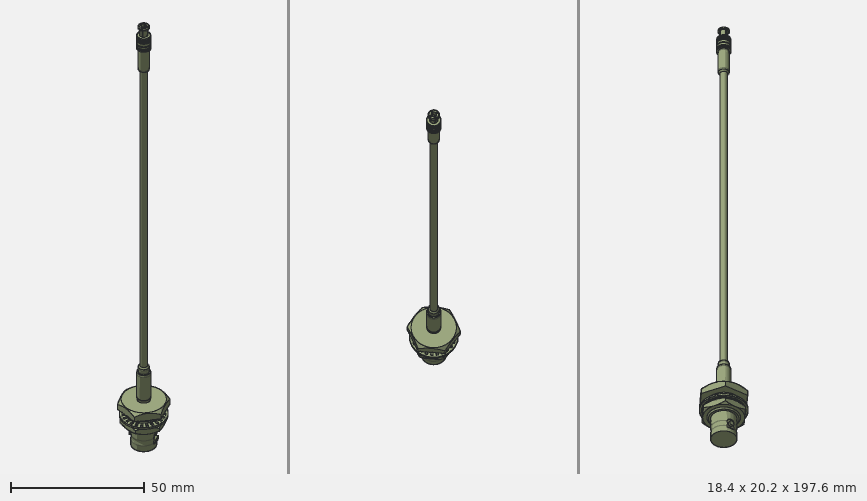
import cadquery as cq
import math


TOTAL_HEIGHT = 197.6
CABLE_RADIUS = 1.46

BARREL_RADIUS = 5.0
BARREL_TOP = 9.9
BARREL_GROOVE_BOTTOM = 2.8
BARREL_GROOVE_TOP = 5.1
BARREL_GROOVE_DEPTH = 0.2
LUG_HEIGHT = 4.1
LUG_RADIUS = 1.0
LUG_TIP = 5.5
FLAT_WIDTH = 3.2
FLAT_DEPTH = 0.4
FLAT_BOTTOM = 2.2
FLAT_TOP = 6.3
THREAD_RADIUS = 6.3
THREAD_TURNS = 3
THREAD_DEPTH = 0.2
THREAD_END_CHAMFER = 0.5
FLANGE_BOTTOM = 17.5
FLANGE_TOP = 21.1
FLANGE_CORNER_TO_CORNER = 20.2
FLANGE_CHAMFER_HEIGHT = 1.4
FLANGE_FACE_RADIUS = 8.5
NECK_RADIUS = 2.5
NECK_TOP = 22.3

WASHER_DIAMETER = 18.4
WASHER_TOP = 14.6
WASHER_RIM_BOTTOM = 13.8
TOOTH_COUNT = 24
TOOTH_RING_RADIUS = 8.3
TOOTH_GAP_WIDTH = 0.8
NUT_TOP = 13.5
NUT_BOTTOM = 10.5
NUT_ACROSS_FLATS = 15.8
NUT_CHAMFER_HEIGHT = 0.8

SLEEVE_RADIUS = 2.8
SLEEVE_TOP = 34.2
SLEEVE_CHAMFER_HEIGHT = 0.8
SLEEVE_CHAMFER_WIDTH = 0.2
COLLAR_TOP = 37.2

TUBE_RADIUS = 2.2
TUBE_CHAMFER_HEIGHT = 0.5
TUBE_CHAMFER_WIDTH = 0.1
NOSE_HEIGHT = 0.5

FERRULE_BOTTOM = 176.5
SHELL_BOTTOM = 187.1
SHELL_TOP = 193.3
SHELL_RADIUS = 2.8
RIB = 0.5
RIB_GROOVE_DEPTH = 0.2
UPPER_GROOVE_COUNT = 2
SCORE_HEIGHT = 189.5
SCORE_HALF_WIDTH = 0.2
FINGER_BOTTOM = SCORE_HEIGHT
FINGER_RADIUS = 1.5
FINGER_BORE_RADIUS = 1.0
LIP_RADIUS = 2.2
LIP_THICKNESS = 1.0
LIP_CHAMFER = 0.4
SLOT_WIDTH = 0.4
SLOT_COUNT = 4
PIN_RADIUS = 0.4
PIN_TIP = 196.6


def revolved(profile):
    """Turn a closed (radius, z) outline a full circle about the Z axis."""
    return cq.Workplane("XZ").polyline(profile).close().revolve(360, (0, 0, 0), (0, 1, 0))


def disc(radius, bottom, top):
    return cq.Workplane("XY").workplane(offset=bottom).circle(radius).extrude(top - bottom)


def ring(outer, inner, bottom, top):
    return disc(outer, bottom, top).cut(disc(inner, bottom, top))


def hexagon(corner_to_corner, bottom, top):
    """Hexagonal prism with two of its corners on the Y axis."""
    blank = cq.Workplane("XY").workplane(offset=bottom).polygon(6, corner_to_corner)
    return blank.extrude(top - bottom).rotate((0, 0, 0), (0, 0, 1), 90)


def make_jack():
    groove_middle = (BARREL_GROOVE_BOTTOM + BARREL_GROOVE_TOP) / 2
    groove = (
        cq.Workplane("XZ")
        .moveTo(BARREL_RADIUS, BARREL_GROOVE_BOTTOM)
        .threePointArc(
            (BARREL_RADIUS - BARREL_GROOVE_DEPTH, groove_middle),
            (BARREL_RADIUS, BARREL_GROOVE_TOP),
        )
        .close()
        .revolve(360, (0, 0, 0), (0, 1, 0))
    )
    barrel = disc(BARREL_RADIUS, 0, BARREL_TOP).cut(groove)

    flat_face = BARREL_RADIUS - FLAT_DEPTH
    half_width = FLAT_WIDTH / 2
    arch_start = FLAT_TOP - half_width
    for side in (-1, 1):
        flat = (
            cq.Workplane("YZ", origin=(side * flat_face, 0, 0))
            .moveTo(-half_width, FLAT_BOTTOM)
            .lineTo(half_width, FLAT_BOTTOM)
            .lineTo(half_width, arch_start)
            .threePointArc((0, FLAT_TOP), (-half_width, arch_start))
            .close()
            .extrude(side * BARREL_RADIUS)
        )
        barrel = barrel.cut(flat)
    lugs = cq.Workplane("YZ").center(0, LUG_HEIGHT).circle(LUG_RADIUS).extrude(LUG_TIP, both=True)
    barrel = barrel.union(lugs)

    thread = disc(THREAD_RADIUS, BARREL_TOP, FLANGE_BOTTOM).faces("<Z").chamfer(THREAD_END_CHAMFER)
    pitch = (FLANGE_BOTTOM - WASHER_TOP) / THREAD_TURNS
    for turn in range(THREAD_TURNS):
        low = WASHER_TOP + turn * pitch
        root = (THREAD_RADIUS - THREAD_DEPTH, low + pitch / 2)
        thread = thread.cut(revolved([(THREAD_RADIUS, low), root, (THREAD_RADIUS, low + pitch)]))

    flange = hexagon(FLANGE_CORNER_TO_CORNER, FLANGE_BOTTOM, FLANGE_TOP)
    corner = FLANGE_CORNER_TO_CORNER / 2
    flange = flange.intersect(
        revolved(
            [
                (0, FLANGE_BOTTOM),
                (corner, FLANGE_BOTTOM),
                (corner, FLANGE_TOP - FLANGE_CHAMFER_HEIGHT),
                (FLANGE_FACE_RADIUS, FLANGE_TOP),
                (0, FLANGE_TOP),
            ]
        )
    )
    neck = disc(NECK_RADIUS, FLANGE_TOP, NECK_TOP)
    return barrel.union(thread).union(flange).union(neck)


def make_washer():
    """Lock washer with inner teeth that reach down from its rim to the nut."""
    rim = ring(WASHER_DIAMETER / 2, TOOTH_RING_RADIUS, WASHER_RIM_BOTTOM, WASHER_TOP)
    teeth = ring(TOOTH_RING_RADIUS, THREAD_RADIUS, NUT_TOP, WASHER_TOP)
    gap = cq.Workplane("XY").box(
        TOOTH_RING_RADIUS, TOOTH_GAP_WIDTH, WASHER_TOP - NUT_TOP, centered=(False, True, False)
    )
    gap = gap.translate((0, 0, NUT_TOP))
    for index in range(TOOTH_COUNT):
        teeth = teeth.cut(gap.rotate((0, 0, 0), (0, 0, 1), 360 / TOOTH_COUNT * index))
    return rim.union(teeth)


def make_nut():
    corner = NUT_ACROSS_FLATS / math.sqrt(3)
    flat = NUT_ACROSS_FLATS / 2
    nut = hexagon(2 * corner, NUT_BOTTOM, NUT_TOP)
    envelope = revolved(
        [
            (THREAD_RADIUS, NUT_BOTTOM),
            (flat, NUT_BOTTOM),
            (corner, NUT_BOTTOM + NUT_CHAMFER_HEIGHT),
            (corner, NUT_TOP - NUT_CHAMFER_HEIGHT),
            (flat, NUT_TOP),
            (THREAD_RADIUS, NUT_TOP),
        ]
    )
    return nut.intersect(envelope)


def make_sleeve():
    return revolved(
        [
            (CABLE_RADIUS, NECK_TOP),
            (SLEEVE_RADIUS, NECK_TOP),
            (SLEEVE_RADIUS, SLEEVE_TOP - SLEEVE_CHAMFER_HEIGHT),
            (SLEEVE_RADIUS - SLEEVE_CHAMFER_WIDTH, SLEEVE_TOP),
            (CABLE_RADIUS, SLEEVE_TOP),
        ]
    )


def nosed_tube(foot, nose):
    """Tube on the cable from z = foot to z = nose, tapering onto the cable at the nose."""
    away = math.copysign(1, nose - foot)
    nose_base = nose - away * NOSE_HEIGHT
    return revolved(
        [
            (CABLE_RADIUS, foot),
            (TUBE_RADIUS - TUBE_CHAMFER_WIDTH, foot),
            (TUBE_RADIUS, foot + away * TUBE_CHAMFER_HEIGHT),
            (TUBE_RADIUS, nose_base - away * TUBE_CHAMFER_HEIGHT),
            (TUBE_RADIUS - TUBE_CHAMFER_WIDTH, nose_base),
            (CABLE_RADIUS, nose),
        ]
    )


def make_collar():
    return nosed_tube(SLEEVE_TOP, COLLAR_TOP)


def make_ferrule():
    return nosed_tube(SHELL_BOTTOM, FERRULE_BOTTOM)


def make_cable():
    return disc(CABLE_RADIUS, NECK_TOP, SHELL_BOTTOM)


def make_shell():
    """Ribbed shell gripping the root of the contact fingers."""
    shell = disc(SHELL_RADIUS, SHELL_BOTTOM, SHELL_TOP).faces(">Z").chamfer(RIB, RIB_GROOVE_DEPTH)
    shell = shell.cut(disc(FINGER_RADIUS, FINGER_BOTTOM, SHELL_TOP))
    groove_bottoms = [SHELL_BOTTOM + RIB]
    for index in range(UPPER_GROOVE_COUNT):
        groove_bottoms.append(SHELL_TOP - 2 * RIB * (index + 1))
    for bottom in groove_bottoms:
        shell = shell.cut(ring(SHELL_RADIUS, SHELL_RADIUS - RIB_GROOVE_DEPTH, bottom, bottom + RIB))
    score = revolved(
        [
            (SHELL_RADIUS, SCORE_HEIGHT - SCORE_HALF_WIDTH),
            (SHELL_RADIUS - SCORE_HALF_WIDTH, SCORE_HEIGHT),
            (SHELL_RADIUS, SCORE_HEIGHT + SCORE_HALF_WIDTH),
        ]
    )
    return shell.cut(score)


def make_fingers():
    """Slotted outer contact: a thin tube with a lip, bored for the pin."""
    fingers = disc(FINGER_RADIUS, FINGER_BOTTOM, TOTAL_HEIGHT)
    lip = disc(LIP_RADIUS, TOTAL_HEIGHT - LIP_THICKNESS, TOTAL_HEIGHT).faces(">Z").chamfer(LIP_CHAMFER)
    fingers = fingers.union(lip)
    fingers = fingers.cut(disc(FINGER_BORE_RADIUS, SHELL_TOP, TOTAL_HEIGHT))
    slot = cq.Workplane("XY").box(
        LIP_RADIUS, SLOT_WIDTH, TOTAL_HEIGHT - SHELL_TOP, centered=(False, True, False)
    )
    slot = slot.translate((0, 0, SHELL_TOP))
    for index in range(SLOT_COUNT):
        angle = 360 / SLOT_COUNT * index
        fingers = fingers.cut(slot.rotate((0, 0, 0), (0, 0, 1), angle))
    return fingers.cut(disc(PIN_RADIUS, FINGER_BOTTOM, SHELL_TOP))


def make_pin():
    return disc(PIN_RADIUS, FINGER_BOTTOM, PIN_TIP)


jack = make_jack()
washer = make_washer()
nut = make_nut()
sleeve = make_sleeve()
collar = make_collar()
cable = make_cable()
ferrule = make_ferrule()
shell = make_shell()
fingers = make_fingers()
pin = make_pin()

result = cq.Compound.makeCompound(
    [
        jack.solids().val(),
        washer.solids().val(),
        nut.solids().val(),
        sleeve.solids().val(),
        collar.solids().val(),
        cable.solids().val(),
        ferrule.solids().val(),
        shell.solids().val(),
        fingers.solids().val(),
        pin.solids().val(),
    ]
)